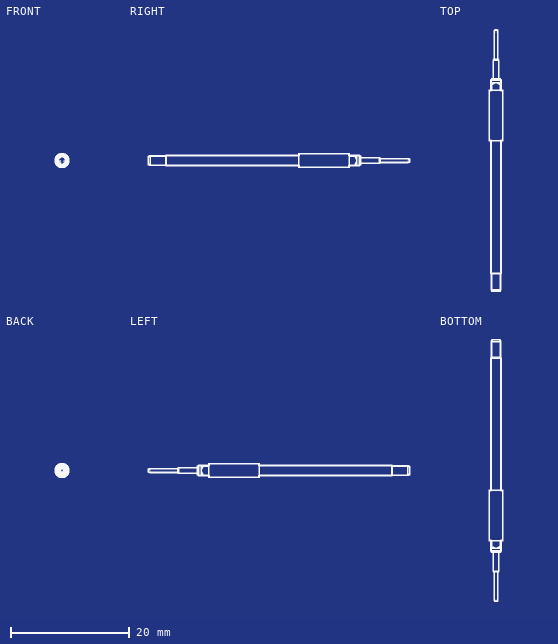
import cadquery as cq

total_length = 44.3

contact_length = 2.95
rod_length = 22.55
body_length = 8.5
flats_length = 1.3
ring_length = 0.4
cone_length = 0.3
barrel_length = 3.3

contact_diameter = 1.6
rod_diameter = 1.73
body_diameter = 2.3
ring_diameter = 1.73
cone_small_diameter = 1.37
barrel_diameter = 0.97
tip_diameter = 0.65

across_flats = 1.73

contact_bevel_length = 0.3
contact_bevel_depth = 0.15
rod_bevel_length = 0.15
rod_bevel_depth = 0.05
barrel_bevel = 0.15
tip_rounding = 0.3

rod_start = contact_length
body_start = rod_start + rod_length
flats_start = body_start + body_length
ring_start = flats_start + flats_length
cone_start = ring_start + ring_length
barrel_start = cone_start + cone_length
tip_start = barrel_start + barrel_length


def cylinder(start, end, diameter):
    """Solid cylinder along Y between two positions."""
    return cone(start, end, diameter, diameter)


def cone(start, end, start_diameter, end_diameter):
    """Solid of revolution along Y whose diameter changes evenly."""
    return (
        cq.Workplane("XY")
        .moveTo(0, start)
        .lineTo(start_diameter / 2, start)
        .lineTo(end_diameter / 2, end)
        .lineTo(0, end)
        .close()
        .revolve(360, (0, 0, 0), (0, 1, 0))
    )


def make_contact():
    """Round contact end with a bevelled rim."""
    face_diameter = contact_diameter - 2 * contact_bevel_depth
    bevel = cone(0, contact_bevel_length, face_diameter, contact_diameter)
    return bevel.union(cylinder(contact_bevel_length, rod_start, contact_diameter))


def make_rod():
    """Long rod with a small bevel next to the contact end."""
    bevel_end = rod_start + rod_bevel_length
    bevel = cone(rod_start, bevel_end, rod_diameter - 2 * rod_bevel_depth, rod_diameter)
    return bevel.union(cylinder(bevel_end, body_start, rod_diameter))


def make_square_neck():
    """Square neck with round corners that taper at 45 degrees towards the ring."""
    taper_start = ring_start - (body_diameter - ring_diameter) / 2
    blank = cylinder(flats_start, taper_start, body_diameter)
    blank = blank.union(cone(taper_start, ring_start, body_diameter, ring_diameter))
    square = cq.Workplane("XY").box(across_flats, flats_length, across_flats)
    return blank.intersect(square.translate((0, flats_start + flats_length / 2, 0)))


def make_barrel():
    """Round barrel with a small bevel at the tip side."""
    bevel_start = tip_start - barrel_bevel
    end_diameter = barrel_diameter - 2 * barrel_bevel
    bevel = cone(bevel_start, tip_start, barrel_diameter, end_diameter)
    return cylinder(barrel_start, bevel_start, barrel_diameter).union(bevel)


def make_tip():
    """Slender tip with a rounded end."""
    return cylinder(tip_start, total_length, tip_diameter).faces(">Y").edges().fillet(tip_rounding)


result = (
    make_contact()
    .union(make_rod())
    .union(cylinder(body_start, flats_start, body_diameter))
    .union(make_square_neck())
    .union(cylinder(ring_start, cone_start, ring_diameter))
    .union(cone(cone_start, barrel_start, ring_diameter, cone_small_diameter))
    .union(make_barrel())
    .union(make_tip())
)